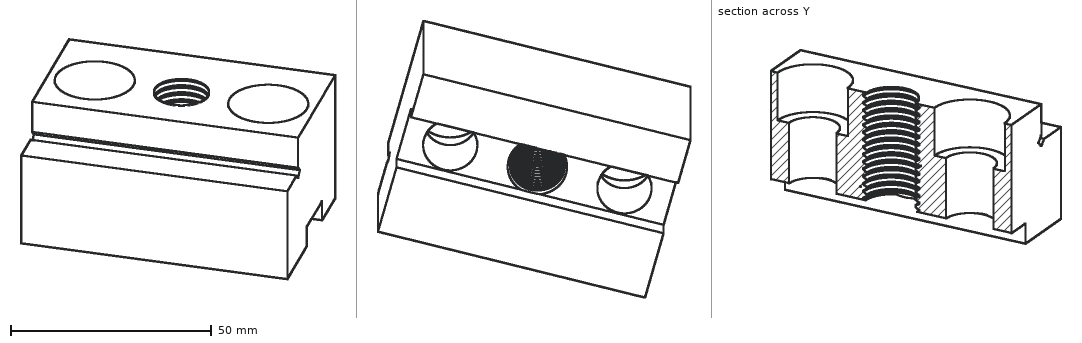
import cadquery as cq
import math

length = 69.0
depth = 44.0
height = 35.0

step_depth = 10.0
step_height = 25.0
relief_side = 2.1
relief_tilt = 45

slot_width = 14.0
slot_height = 5.5
slot_back_margin = 12.0
slot_centre_y = depth - slot_back_margin - slot_width / 2

hole_spacing = 45.0
hole_diameter = 13.5
counterbore_diameter = 20.0
counterbore_depth = 13.0

thread_pitch = 2.0
thread_minor_diameter = 13.8
thread_angle = 60
thread_crest_width = thread_pitch / 4
thread_root_width = thread_pitch / 8
thread_flank_width = (thread_pitch - thread_crest_width - thread_root_width) / 2
thread_groove_depth = thread_flank_width / math.tan(math.radians(thread_angle / 2))


def stepped_block():
    """Block with the front step, the corner relief and the bottom slot."""
    block = cq.Workplane("XY").box(length, depth, height, centered=(True, False, False))
    step = (
        cq.Workplane("XY", origin=(0, 0, step_height))
        .box(length, step_depth, height - step_height, centered=(True, False, False))
    )
    relief = (
        cq.Workplane("XY")
        .box(length, relief_side, relief_side)
        .rotate((0, 0, 0), (1, 0, 0), relief_tilt)
        .translate((0, step_depth, step_height))
    )
    slot = (
        cq.Workplane("XY", origin=(0, slot_centre_y, 0))
        .box(length, slot_width, slot_height, centered=(True, True, False))
    )
    return block.cut(step).cut(relief).cut(slot)


def thread_cutter():
    """Solid of revolution: the minor bore plus ring grooves that run out into the slot."""
    minor_radius = thread_minor_diameter / 2
    major_radius = minor_radius + thread_groove_depth
    groove_width = thread_pitch - thread_crest_width
    groove_count = math.ceil((height - slot_height) / thread_pitch)
    first_groove_top = height - thread_crest_width / 2

    outline = [(0, height), (minor_radius, height)]
    for index in range(groove_count):
        groove_top = first_groove_top - index * thread_pitch
        groove_bottom = groove_top - groove_width
        outline += [
            (minor_radius, groove_top),
            (major_radius, groove_top - thread_flank_width),
            (major_radius, groove_bottom + thread_flank_width),
            (minor_radius, groove_bottom),
        ]
    outline += [(minor_radius, 0), (0, 0)]

    cutter = cq.Workplane("XZ").polyline(outline).close().revolve(360, (0, 0, 0), (0, 1, 0))
    return cutter.translate((0, slot_centre_y, 0))


counterbored_block = (
    stepped_block()
    .faces(">Z")
    .workplane(origin=(0, slot_centre_y, height))
    .pushPoints([(-hole_spacing / 2, 0), (hole_spacing / 2, 0)])
    .cboreHole(hole_diameter, counterbore_diameter, counterbore_depth)
)

result = counterbored_block.cut(thread_cutter())